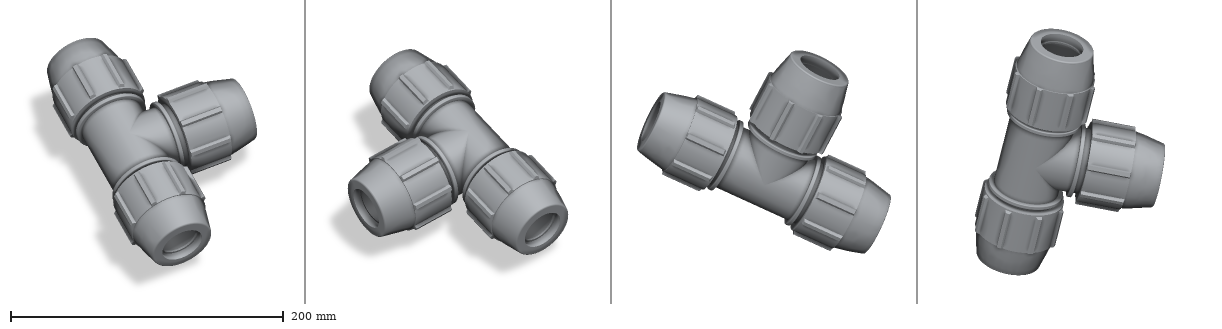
import cadquery as cq
import math


run_half_length = 92.5
branch_length = 92.9

pipe_radius = 48.5 / 2
flange_radius = 55.7 / 2
flange_width = 3.0
flange_edge = 0.5
run_flange_gap = 3.3
branch_flange_gap = 4.6

bore_radius = 32.0 / 2
lip_radius = 28.9 / 2
lip_depth = 6.1
lip_width = 1.5

cap_length = 23.5
cap_mouth_radius = 48.0 / 2
cap_base_radius = 28.9
cap_bulge = 0.4
mouth_round = 1.3

nut_radius = 29.8
nut_length = 32.5
rib_count = 8
rib_tip_radius = 32.0
rib_tip_width = 3.1
rib_embed = 1.8
rib_foot_width = 5.2
rib_front_slope = 0.5
rib_back_inset = 1.1
rib_back_slope = 1.1

nut_back = cap_length + nut_length


def end_profile_solid(length):
    """Cap, nut and pipe as one turned solid; mouth at z = 0, tee centre at z = length."""
    mouth_face_radius = cap_mouth_radius - mouth_round
    round_offset = mouth_round * math.sqrt(0.5)
    round_middle = (mouth_face_radius + round_offset, mouth_round - round_offset)
    cap_middle = (
        (cap_mouth_radius + cap_base_radius) / 2 + cap_bulge,
        (mouth_round + cap_length) / 2,
    )
    return (
        cq.Workplane("XZ")
        .moveTo(0, 0)
        .lineTo(mouth_face_radius, 0)
        .threePointArc(round_middle, (cap_mouth_radius, mouth_round))
        .threePointArc(cap_middle, (cap_base_radius, cap_length))
        .lineTo(nut_radius, cap_length)
        .lineTo(nut_radius, nut_back)
        .lineTo(pipe_radius, nut_back)
        .lineTo(pipe_radius, length)
        .lineTo(0, length)
        .close()
        .revolve(360, (0, 0, 0), (0, 1, 0))
    )


def grip_rib(back_inset, back_slope):
    """One rib on the +X side of the nut: trapezoid section, trimmed to sloped ends."""
    root_radius = nut_radius - rib_embed
    foot_radius = math.sqrt(nut_radius**2 - (rib_foot_width / 2) ** 2)
    section = (
        cq.Workplane("XY")
        .workplane(offset=cap_length)
        .polyline([
            (root_radius, -rib_foot_width / 2),
            (foot_radius, -rib_foot_width / 2),
            (rib_tip_radius, -rib_tip_width / 2),
            (rib_tip_radius, rib_tip_width / 2),
            (foot_radius, rib_foot_width / 2),
            (root_radius, rib_foot_width / 2),
        ])
        .close()
        .extrude(nut_length)
    )
    foot_end = nut_back - back_inset
    side_outline = (
        cq.Workplane("XZ")
        .polyline([
            (root_radius, cap_length),
            (foot_radius, cap_length),
            (rib_tip_radius, cap_length + rib_front_slope),
            (rib_tip_radius, foot_end - back_slope),
            (foot_radius, foot_end),
            (root_radius, foot_end),
        ])
        .close()
        .extrude(rib_foot_width, both=True)
    )
    return section.intersect(side_outline)


def flange(gap):
    """Stop flange with rounded edges behind the nut."""
    return (
        cq.Workplane("XY")
        .workplane(offset=nut_back + gap)
        .circle(flange_radius)
        .extrude(flange_width)
        .edges()
        .fillet(flange_edge)
    )


def fitting_end(length, flange_gap, back_inset, back_slope):
    """Complete solid arm of the tee, mouth at the origin and axis along +Z."""
    arm = end_profile_solid(length).union(flange(flange_gap))
    rib = grip_rib(back_inset, back_slope)
    pitch = 360 / rib_count
    for i in range(rib_count):
        arm = arm.union(rib.rotate((0, 0, 0), (0, 0, 1), (i + 0.5) * pitch))
    return arm


def arm_bore(length):
    """Hollow of one arm around its lip, mouth at the origin and axis along +Z."""
    lip = (
        cq.Workplane("XY")
        .workplane(offset=lip_depth)
        .circle(bore_radius)
        .circle(lip_radius)
        .extrude(lip_width)
    )
    return cq.Workplane("XY").circle(bore_radius).extrude(length).cut(lip)


def to_left(shape):
    """Place an arm with its mouth on -X."""
    return shape.rotate((0, 0, 0), (0, 1, 0), 90).translate((-run_half_length, 0, 0))


def to_branch(shape):
    """Place an arm with its mouth on +Y."""
    return shape.rotate((0, 0, 0), (1, 0, 0), 90).translate((0, branch_length, 0))


left_arm = to_left(fitting_end(run_half_length, run_flange_gap, rib_back_inset, rib_back_slope))
left_bore = to_left(arm_bore(run_half_length))
run = left_arm.union(left_arm.mirror("YZ"))
run_bore = left_bore.union(left_bore.mirror("YZ"))

branch = to_branch(fitting_end(branch_length, branch_flange_gap, 0, 0))
branch_bore = to_branch(arm_bore(branch_length))

result = run.union(branch).cut(run_bore).cut(branch_bore)